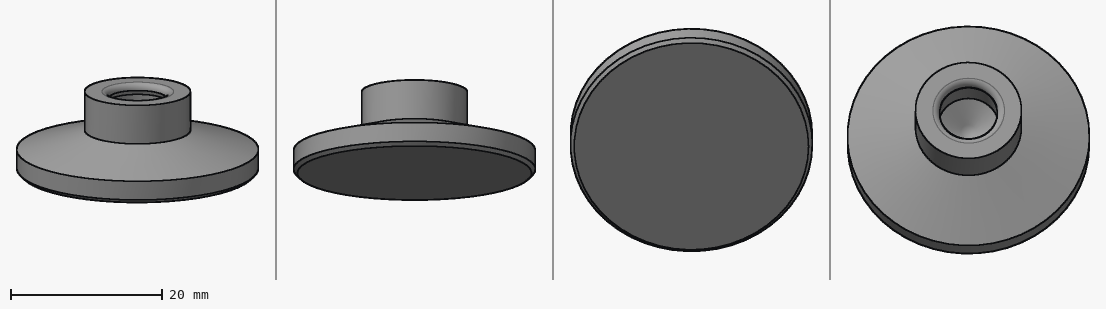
import cadquery as cq
import math

disc_radius = 16.0
rim_top = 3.07
edge_chamfer = 0.5

hub_radius = 7.0
hub_base = 5.73
total_height = 11.0

bore_radius = 4.0
throat_radius = 3.8
mouth_round = 0.93
flare_depth = 1.5
bore_depth = 4.8
drill_point_angle = 118.0
drill_point_depth = bore_radius / math.tan(math.radians(drill_point_angle / 2))


def make_body():
    """Revolve the disc, shoulder and hub about Z."""
    profile = (
        cq.Workplane("XZ")
        .lineTo(disc_radius - edge_chamfer, 0)
        .lineTo(disc_radius, edge_chamfer)
        .lineTo(disc_radius, rim_top)
        .lineTo(hub_radius, hub_base)
        .lineTo(hub_radius, total_height)
        .lineTo(0, total_height)
        .close()
    )
    return profile.revolve(360, (0, 0, 0), (0, 1, 0))


def make_bore():
    """Revolve the void of the bore about Z."""
    floor = total_height - bore_depth
    mouth_radius = throat_radius + mouth_round
    round_offset = mouth_round * math.sqrt(0.5)
    round_middle = (mouth_radius - round_offset, total_height - mouth_round + round_offset)
    profile = (
        cq.Workplane("XZ")
        .moveTo(0, floor - drill_point_depth)
        .lineTo(bore_radius, floor)
        .lineTo(bore_radius, total_height - flare_depth)
        .lineTo(throat_radius, total_height - mouth_round)
        .threePointArc(round_middle, (mouth_radius, total_height))
        .lineTo(0, total_height)
        .close()
    )
    return profile.revolve(360, (0, 0, 0), (0, 1, 0))


result = make_body().cut(make_bore())